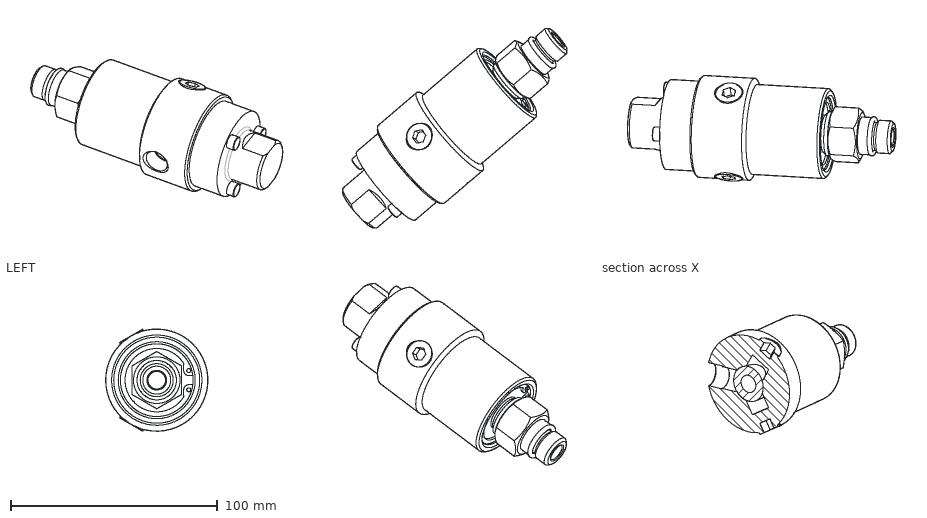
import cadquery as cq
import math

OVERALL_LENGTH = 129.0
THREAD_END = 8.3
SEAL_X = 10.0
COLLAR_START = 10.3
HEX_START = 15.7
HEX_END = 30.2
HOUSING_START = 32.1
SHOULDER_END = HOUSING_START
BAND_START = 68.2
BAND_END = 95.6
CAP_END = 110.9
ROTOR_END = 87.7

THREAD_DIAMETER = 16.0
NECK_DIAMETER = 13.5
THREAD_CHAMFER_LENGTH = 1.3
SEAL_DIAMETER = 19.1
SEAL_SECTION_RADIUS = 1.2
COLLAR_DIAMETER = 18.2
HEX_FLATS = 24.0
HEX_FACE_DIAMETER = 22.6
HEX_CHAMFER_ANGLE = 30.0
SHOULDER_DIAMETER = 21.4
SHOULDER_TAPER_LENGTH = 1.8
SHAFT_DIAMETER = 18.0
BORE_DIAMETER = 8.5
BORE_CHAMFER = 0.5

BODY_DIAMETER = 43.7
BODY_CHAMFER = 1.0
BAND_DIAMETER = 49.5
BAND_CONE_LENGTH = 1.5
BAND_REAR_CHAMFER = 0.9
BOSS_DIAMETER = 25.4
BOSS_CHAMFER = 1.2
BOSS_FILLET = 1.2
BOSS_FLATS = 22.0
BOSS_FLAT_START = 116.5
BOSS_FLAT_RAMP_ANGLE = 45.0

RECESS_MOUTH_DIAMETER = 37.3
RECESS_DIAMETER = 35.2
RECESS_CHAMFER_LENGTH = 1.0
RECESS_DEPTH = 3.0
RING_INNER_DIAMETER = 30.7
RING_THICKNESS = 1.2
LUG_RADIUS = 2.5
LUG_HOLE_DIAMETER = 1.9
LUG_Y = -15.5
LUG_Z = 4.6
LUG_ROOT_Z = 7.7
RING_GAP = 2 * (LUG_Z - LUG_RADIUS)

PORT_X = 78.7
PORT_COUNT = 3
PORT_DIAMETER = 11.6
PORT_MOUTH_DIAMETER = 13.9
PORT_THROAT_DIAMETER = 11.0
PORT_MOUTH_CLEARANCE = 1.3
PORT_THREAD_DEPTH = 9.0
PLUG_DIAMETER = 12.9
PLUG_LENGTH = 10.3
SOCKET_FLATS = 5.9
SOCKET_DEPTH = 5.0

SCREW_COUNT = 3
SCREW_CIRCLE_RADIUS = 17.5
SCREW_DIAMETER = 6.8
SCREW_HEIGHT = 3.9
SCREW_CHAMFER = 0.3


def cylinder(start, end, diameter):
    """Cylinder on the X axis between two stations."""
    return cq.Workplane("YZ", origin=(start, 0, 0)).circle(diameter / 2).extrude(end - start)


def revolve_about_x(profile):
    return profile.close().revolve(360, (0, 0, 0), (1, 0, 0))


def hexagon_corners(flats):
    return flats / math.cos(math.pi / 6)


def make_nose():
    """Threaded tip, neck, collar and the round seal that sits in front of the collar."""
    neck = NECK_DIAMETER / 2
    thread = THREAD_DIAMETER / 2
    collar = COLLAR_DIAMETER / 2
    profile = (
        cq.Workplane("XY")
        .lineTo(0, neck)
        .lineTo(THREAD_CHAMFER_LENGTH, thread)
        .lineTo(THREAD_END - THREAD_CHAMFER_LENGTH, thread)
        .lineTo(THREAD_END, neck)
        .lineTo(COLLAR_START, neck)
        .lineTo(COLLAR_START, collar)
        .lineTo(HEX_START, collar)
        .lineTo(HEX_START, 0)
    )
    seal_center_r = SEAL_DIAMETER / 2 - SEAL_SECTION_RADIUS
    seal = (
        cq.Workplane("XY")
        .moveTo(SEAL_X, seal_center_r)
        .circle(SEAL_SECTION_RADIUS)
        .revolve(360, (0, 0, 0), (1, 0, 0))
    )
    return revolve_about_x(profile).union(seal)


def make_hexagon_and_shaft():
    """Hexagon with corners at +Z and -Z, both ends chamfered, with the shoulder and shaft behind it."""
    corners = hexagon_corners(HEX_FLATS)
    corner_radius = corners / 2
    face_radius = HEX_FACE_DIAMETER / 2
    shoulder = SHOULDER_DIAMETER / 2
    shaft = SHAFT_DIAMETER / 2
    slope = math.tan(math.radians(HEX_CHAMFER_ANGLE))
    chamfer = (corner_radius - face_radius) * slope
    profile = (
        cq.Workplane("XY")
        .moveTo(HEX_START, 0)
        .lineTo(HEX_START, face_radius)
        .lineTo(HEX_START + chamfer, corner_radius)
        .lineTo(HEX_END - chamfer, corner_radius)
        .lineTo(HEX_END, face_radius)
        .lineTo(HEX_END, shoulder)
        .lineTo(SHOULDER_END, shoulder)
        .lineTo(SHOULDER_END + SHOULDER_TAPER_LENGTH, shaft)
        .lineTo(ROTOR_END, shaft)
        .lineTo(ROTOR_END, 0)
    )
    prism = (
        cq.Workplane("YZ", origin=(HEX_START, 0, 0))
        .transformed(rotate=(0, 0, 90))
        .polygon(6, corners)
        .extrude(ROTOR_END - HEX_START)
    )
    return revolve_about_x(profile).intersect(prism)


def make_rotor():
    bore_radius = BORE_DIAMETER / 2
    bore_profile = (
        cq.Workplane("XY")
        .lineTo(0, bore_radius + BORE_CHAMFER)
        .lineTo(BORE_CHAMFER, bore_radius)
        .lineTo(ROTOR_END, bore_radius)
        .lineTo(ROTOR_END, 0)
    )
    return make_nose().union(make_hexagon_and_shaft()).cut(revolve_about_x(bore_profile))


def make_body():
    """Turned outside of the housing, from the front face to the rear boss."""
    body = BODY_DIAMETER / 2
    band = BAND_DIAMETER / 2
    boss = BOSS_DIAMETER / 2
    fillet_middle = BOSS_FILLET * (1 - math.sqrt(0.5))
    profile = (
        cq.Workplane("XY")
        .moveTo(HOUSING_START, 0)
        .lineTo(HOUSING_START, body - BODY_CHAMFER)
        .lineTo(HOUSING_START + BODY_CHAMFER, body)
        .lineTo(BAND_START, body)
        .lineTo(BAND_START + BAND_CONE_LENGTH, band)
        .lineTo(BAND_END - BAND_REAR_CHAMFER, band)
        .lineTo(BAND_END, band - BAND_REAR_CHAMFER)
        .lineTo(BAND_END, body)
        .lineTo(CAP_END, body)
        .lineTo(CAP_END, boss + BOSS_FILLET)
        .threePointArc(
            (CAP_END + fillet_middle, boss + fillet_middle),
            (CAP_END + BOSS_FILLET, boss),
        )
        .lineTo(OVERALL_LENGTH - BOSS_CHAMFER, boss)
        .lineTo(OVERALL_LENGTH, boss - BOSS_CHAMFER)
        .lineTo(OVERALL_LENGTH, 0)
    )
    return revolve_about_x(profile)


def make_flat_cutter():
    """Removes the material above the upper wrench flat, with a ramp at its front end."""
    floor = BOSS_FLATS / 2
    top = BOSS_DIAMETER / 2 + BOSS_FILLET
    ramp = (top - floor) / math.tan(math.radians(BOSS_FLAT_RAMP_ANGLE))
    return (
        cq.Workplane("XZ")
        .moveTo(BOSS_FLAT_START, floor)
        .lineTo(OVERALL_LENGTH, floor)
        .lineTo(OVERALL_LENGTH, top)
        .lineTo(BOSS_FLAT_START - ramp, top)
        .close()
        .extrude(BOSS_DIAMETER / 2, both=True)
    )


def make_recess():
    """Front recess with a chamfered mouth."""
    radius = RECESS_DIAMETER / 2
    mouth = RECESS_MOUTH_DIAMETER / 2
    floor = HOUSING_START + RECESS_DEPTH
    profile = (
        cq.Workplane("XY")
        .moveTo(HOUSING_START, 0)
        .lineTo(HOUSING_START, mouth)
        .lineTo(HOUSING_START + RECESS_CHAMFER_LENGTH, radius)
        .lineTo(floor, radius)
        .lineTo(floor, 0)
    )
    return revolve_about_x(profile)


def make_retaining_ring():
    """Open ring on the recess floor, with two drilled lugs beside its gap."""
    floor = HOUSING_START + RECESS_DEPTH
    front = floor - RING_THICKNESS
    plane = cq.Workplane("YZ", origin=(front, 0, 0))
    ring = cylinder(front, floor, RECESS_DIAMETER).cut(cylinder(front, floor, RING_INNER_DIAMETER))
    lug_edge = LUG_Y - LUG_RADIUS
    for side in (1, -1):
        z = side * LUG_Z
        lug = plane.center(LUG_Y, z).circle(LUG_RADIUS).extrude(RING_THICKNESS)
        root = (
            plane.center(LUG_Y, side * (LUG_Z + LUG_ROOT_Z) / 2)
            .rect(2 * LUG_RADIUS, LUG_ROOT_Z - LUG_Z)
            .extrude(RING_THICKNESS)
        )
        tip = (
            plane.center((LUG_Y + lug_edge) / 2, z)
            .rect(LUG_RADIUS, 2 * LUG_RADIUS)
            .extrude(RING_THICKNESS)
        )
        ring = ring.union(lug).union(root).union(tip)
    ring = ring.intersect(cylinder(front, floor, RECESS_DIAMETER))
    gap = plane.center(-RECESS_DIAMETER / 2, 0).rect(RECESS_DIAMETER, RING_GAP).extrude(RING_THICKNESS)
    holes = (
        plane.pushPoints([(LUG_Y, LUG_Z), (LUG_Y, -LUG_Z)])
        .circle(LUG_HOLE_DIAMETER / 2)
        .extrude(RING_THICKNESS)
    )
    return ring.cut(gap).cut(holes)


def make_port_cutter():
    """Countersunk, stepped port along -Y that reaches the rotor shaft."""
    outside = BAND_DIAMETER / 2
    hole = PORT_DIAMETER / 2
    mouth = PORT_MOUTH_DIAMETER / 2
    throat = PORT_THROAT_DIAMETER / 2
    step = outside - PORT_THREAD_DEPTH
    clearance = PORT_MOUTH_CLEARANCE
    return (
        cq.Workplane("XY", origin=(PORT_X, 0, 0))
        .lineTo(throat, 0)
        .lineTo(throat, -step + hole - throat)
        .lineTo(hole, -step)
        .lineTo(hole, -outside + mouth - hole)
        .lineTo(mouth + clearance, -outside - clearance)
        .lineTo(0, -outside - clearance)
        .close()
        .revolve(360, (0, 0, 0), (0, 1, 0))
    )


def make_plug():
    """Flat plug along -Y with a hexagon socket that has two flats square to the X axis."""
    outside = BAND_DIAMETER / 2
    top = cq.Workplane("XZ", origin=(PORT_X, -outside, 0))
    body = top.circle(PLUG_DIAMETER / 2).extrude(-PLUG_LENGTH)
    socket = (
        top.transformed(rotate=(0, 0, 90))
        .polygon(6, hexagon_corners(SOCKET_FLATS))
        .extrude(-SOCKET_DEPTH)
    )
    return body.cut(socket)


def make_screw_head():
    """Screw head at the +Y position of the screw circle."""
    return (
        cq.Workplane("YZ", origin=(CAP_END, 0, 0))
        .center(SCREW_CIRCLE_RADIUS, 0)
        .circle(SCREW_DIAMETER / 2)
        .extrude(SCREW_HEIGHT)
        .faces(">X")
        .chamfer(SCREW_CHAMFER)
    )


def make_housing():
    housing = make_body()
    flat = make_flat_cutter()
    housing = housing.cut(flat).cut(flat.mirror("XY"))
    housing = housing.cut(make_recess()).union(make_retaining_ring())
    port = make_port_cutter()
    plug = make_plug()
    for i in range(PORT_COUNT):
        angle = i * 360 / PORT_COUNT
        housing = housing.cut(port.rotate((0, 0, 0), (1, 0, 0), angle))
        if i > 0:
            housing = housing.union(plug.rotate((0, 0, 0), (1, 0, 0), angle))
    screw = make_screw_head()
    for i in range(SCREW_COUNT):
        housing = housing.union(screw.rotate((0, 0, 0), (1, 0, 0), i * 360 / SCREW_COUNT))
    return housing.cut(cylinder(HOUSING_START, ROTOR_END, SHAFT_DIAMETER))


rotor = make_rotor()
housing = make_housing()
result = cq.Compound.makeCompound([rotor.solids().val(), housing.solids().val()])